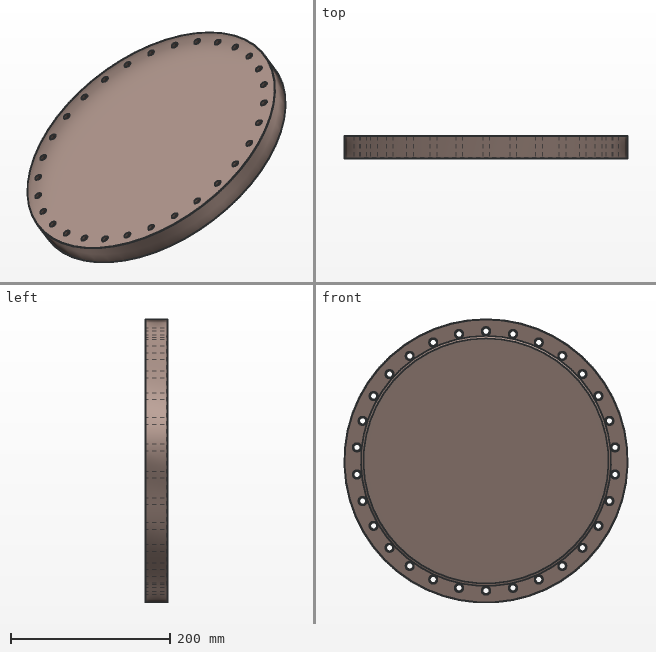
import cadquery as cq

outer_diameter = 355.5
thickness = 28.5
rim_chamfer = 0.5

groove_outer_diameter = 313.5
knife_edge_diameter = 307.2
groove_depth = 1.95
center_recess = 0.9

bolt_count = 30
bolt_circle_diameter = 325.5
bolt_hole_diameter = 8.5
bolt_hole_chamfer = 1.0

front_y = -thickness / 2
back_y = thickness / 2


def revolve_profile(points):
    """Revolve a closed (Y, radius) profile, drawn on the +Z side, about the Y axis."""
    return cq.Workplane("YZ").polyline(points).close().revolve(360, (0, 0, 0), (1, 0, 0))


def make_disc():
    """Solid disc with its rim chamfered on both faces."""
    rim_radius = outer_diameter / 2
    return revolve_profile([
        (front_y, 0),
        (front_y, rim_radius - rim_chamfer),
        (front_y + rim_chamfer, rim_radius),
        (back_y - rim_chamfer, rim_radius),
        (back_y, rim_radius - rim_chamfer),
        (back_y, 0),
    ])


def make_gasket_recess():
    """Shallow central recess with a deeper groove just inside its wall."""
    wall_radius = groove_outer_diameter / 2
    return revolve_profile([
        (front_y, 0),
        (front_y, wall_radius),
        (front_y + groove_depth, wall_radius),
        (front_y + center_recess, knife_edge_diameter / 2),
        (front_y + center_recess, 0),
    ])


def make_bolt_hole():
    """Through hole on the Y axis, chamfered at its front mouth."""
    hole_radius = bolt_hole_diameter / 2
    mouth_radius = hole_radius + bolt_hole_chamfer
    return revolve_profile([
        (front_y, 0),
        (front_y, mouth_radius),
        (front_y + bolt_hole_chamfer, hole_radius),
        (back_y, hole_radius),
        (back_y, 0),
    ])


result = make_disc().cut(make_gasket_recess())
first_hole = make_bolt_hole().translate((0, 0, bolt_circle_diameter / 2))
for index in range(bolt_count):
    angle = index * 360 / bolt_count
    result = result.cut(first_hole.rotate((0, 0, 0), (0, 1, 0), angle))